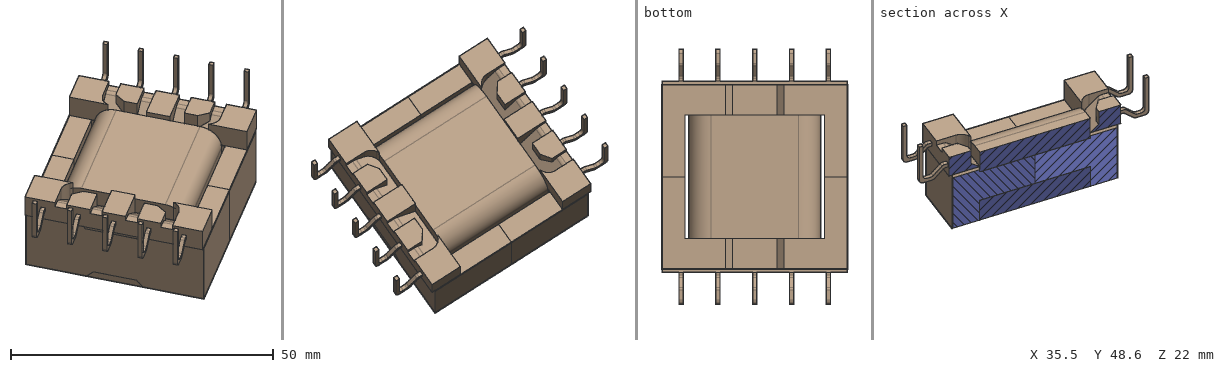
import cadquery as cq
import math

overall_width = 35.45
overall_length = 48.6
overall_height = 22.02
tape_thickness = 0.15
core_width = overall_width - 2 * tape_thickness
core_length = 34.9
core_height = 12.9
window_half_width = 13.25

top_notch_depth = 1.0
top_notch_mouth = 13.0
top_notch_floor = 11.8
bottom_notch_depth = 1.37
bottom_notch_mouth = 11.1
bottom_notch_floor = 8.55

winding_width = 25.2
winding_half_length = 11.72
winding_top = 16.7
winding_corner_radius = 4.28

leg_top = core_height - top_notch_depth
winding_wall = winding_top - leg_top
leg_width = winding_width - 2 * winding_wall
leg_height = winding_top - 2 * winding_wall

block_width = 35.25
block_bottom = 13.05
block_top = 17.7
block_inner_y = winding_half_length
block_outer_y = 18.2

pin_pitch = 7.0
slot_width = pin_pitch / 3
slot_floor = winding_top
recess_inner_x = pin_pitch / 2 - slot_width / 2
recess_outer_x = 1.5 * pin_pitch + slot_width / 2
recess_corner_radius = slot_width
recess_corner_y = 14.05
recess_corner_turn = math.radians(60)

island_inner_x = pin_pitch - slot_width
island_outer_x = pin_pitch + slot_width
island_tip_y = 13.5
island_chamfer_x = 2.0
island_chamfer_y = 1.4

ramp_angle = math.radians(37.4)
ramp_round_start_y = 16.75
ramp_round_radius = 1.4

pins_per_side = 5
pin_width = 0.85
pin_thickness = 0.8
pin_outer_y = overall_length / 2
pin_tip = overall_height
pin_top_z = 15.9
pin_low_z = block_bottom
pin_root_depth = 1.0
pin_root_y = block_outer_y - pin_root_depth
pin_step_start_y = 19.3
pin_step_end_y = 21.6
pin_step_radius = 0.7
pin_bend_radius = 0.85


def box(x_min, x_max, y_min, y_max, z_min, z_max):
    """Box given by its limits along the three axes."""
    size = (x_max - x_min, y_max - y_min, z_max - z_min)
    return cq.Workplane("XY").box(*size, centered=False).translate((x_min, y_min, z_min))


def other_end(shape):
    """Copy of a +Y end feature at the -Y end."""
    return shape.mirror("XZ")


def make_notch(mouth_z, floor_z, mouth_width, floor_width):
    """Trapezoidal prism along Y that cuts both end plates of the core."""
    profile = [
        (-mouth_width / 2, mouth_z),
        (-floor_width / 2, floor_z),
        (floor_width / 2, floor_z),
        (mouth_width / 2, mouth_z),
    ]
    return cq.Workplane("XZ").polyline(profile).close().extrude(core_length / 2, both=True)


def make_core_half():
    """E-shaped core half on the +Y side, meeting its twin at Y = 0."""
    half = box(-core_width / 2, core_width / 2, 0, core_length / 2, 0, core_height)
    window = box(-window_half_width, window_half_width, 0, winding_half_length, 0, core_height)
    top_notch = make_notch(core_height, leg_top, top_notch_mouth, top_notch_floor)
    bottom_notch = make_notch(0, bottom_notch_depth, bottom_notch_mouth, bottom_notch_floor)
    leg = box(-leg_width / 2, leg_width / 2, 0, winding_half_length, leg_top - leg_height, leg_top)
    return half.cut(window).cut(top_notch).cut(bottom_notch).union(leg)


def make_tape():
    """Thin band wrapped once around the outside of the core."""
    band = cq.Workplane("XY").rect(overall_width, core_length + 2 * tape_thickness)
    return band.rect(core_width, core_length).extrude(core_height)


def make_winding():
    """Rounded block around the centre leg, with a hole that the leg fills."""
    block = (
        cq.Workplane("XZ", origin=(0, 0, winding_top / 2))
        .rect(winding_width, winding_top)
        .extrude(winding_half_length, both=True)
        .edges("|Y")
        .fillet(winding_corner_radius)
    )
    leg_hole = (
        cq.Workplane("XZ", origin=(0, 0, winding_top / 2))
        .rect(leg_width, leg_height)
        .extrude(winding_half_length, both=True)
    )
    return block.cut(leg_hole)


def make_space_above_floor():
    """Space above the recess floor: level part, round-over and ramp, run along X."""

    def round_point(angle):
        return (
            ramp_round_start_y - ramp_round_radius * math.sin(angle),
            slot_floor - ramp_round_radius * (1 - math.cos(angle)),
        )

    ramp_start = round_point(ramp_angle)
    ramp_end_z = ramp_start[1] - (ramp_start[0] - block_inner_y) * math.tan(ramp_angle)
    return (
        cq.Workplane("YZ")
        .moveTo(block_outer_y, block_top)
        .lineTo(block_outer_y, slot_floor)
        .lineTo(ramp_round_start_y, slot_floor)
        .threePointArc(round_point(ramp_angle / 2), ramp_start)
        .lineTo(block_inner_y, ramp_end_z)
        .lineTo(block_inner_y, block_top)
        .close()
        .extrude(recess_outer_x)
    )


def make_recess():
    """Wire recess on the +X side of the +Y end block, leaving its island standing.

    The outer wall turns inwards on an arc and runs out to the inner face on a slant.
    """
    corner_center_x = recess_outer_x - recess_corner_radius

    def corner_point(angle):
        return (
            corner_center_x + recess_corner_radius * math.cos(angle),
            recess_corner_y - recess_corner_radius * math.sin(angle),
        )

    corner_end = corner_point(recess_corner_turn)
    slant_width = (corner_end[1] - block_inner_y) * math.tan(recess_corner_turn)
    outline = (
        cq.Workplane("XY", origin=(0, 0, block_bottom))
        .moveTo(recess_inner_x, block_inner_y)
        .lineTo(recess_inner_x, block_outer_y)
        .lineTo(recess_outer_x, block_outer_y)
        .lineTo(recess_outer_x, recess_corner_y)
        .threePointArc(corner_point(recess_corner_turn / 2), corner_end)
        .lineTo(corner_end[0] - slant_width, block_inner_y)
        .close()
        .extrude(block_top - block_bottom)
    )
    island_outline = [
        (island_inner_x, block_outer_y),
        (island_inner_x, island_tip_y),
        (island_outer_x - island_chamfer_x, island_tip_y),
        (island_outer_x, island_tip_y + island_chamfer_y),
        (island_outer_x, block_outer_y),
    ]
    island = (
        cq.Workplane("XY", origin=(0, 0, block_bottom))
        .polyline(island_outline)
        .close()
        .extrude(block_top - block_bottom)
    )
    return outline.cut(island).intersect(make_space_above_floor())


def make_end_block():
    """Bobbin end block on the +Y side with its two mirrored wire recesses."""
    block = box(
        -block_width / 2, block_width / 2, block_inner_y, block_outer_y, block_bottom, block_top
    )
    recess = make_recess()
    return block.cut(recess).cut(recess.mirror("YZ"))


def make_pin(x):
    """Bent pin on the +Y side: out of the block, down a slanted step, then up to its tip."""
    step_angle = math.atan2(
        pin_top_z - pin_low_z - pin_thickness, pin_step_end_y - pin_step_start_y
    )
    corner_shift = pin_thickness * math.tan(step_angle / 2)
    pin_inner_y = pin_outer_y - pin_thickness
    outline = [
        (pin_root_y, pin_top_z),
        (pin_step_start_y, pin_top_z),
        (pin_step_end_y, pin_low_z + pin_thickness),
        (pin_inner_y, pin_low_z + pin_thickness),
        (pin_inner_y, pin_tip),
        (pin_outer_y, pin_tip),
        (pin_outer_y, pin_low_z),
        (pin_step_end_y - corner_shift, pin_low_z),
        (pin_step_start_y - corner_shift, pin_top_z - pin_thickness),
        (pin_root_y, pin_top_z - pin_thickness),
    ]
    blank = (
        cq.Workplane("YZ", origin=(x, 0, 0))
        .polyline(outline)
        .close()
        .extrude(pin_width / 2, both=True)
    )
    step_region = cq.selectors.BoxSelector(
        (x - pin_width, block_outer_y, pin_low_z - pin_thickness),
        (x + pin_width, pin_step_end_y + pin_thickness / 2, pin_top_z + pin_thickness),
    )
    bend_region = cq.selectors.BoxSelector(
        (x - pin_width, pin_inner_y - pin_thickness / 2, pin_low_z - pin_thickness),
        (x + pin_width, pin_outer_y + pin_thickness / 2, pin_top_z),
    )
    stepped = blank.edges("|X").edges(step_region).fillet(pin_step_radius)
    return stepped.edges("|X").edges(bend_region).fillet(pin_bend_radius)


def make_bobbin():
    """Wound bobbin: winding, two end blocks and two rows of pins in one solid."""
    end_block = make_end_block()
    bobbin = make_winding().union(end_block).union(other_end(end_block))
    for index in range(pins_per_side):
        pin = make_pin((index - (pins_per_side - 1) / 2) * pin_pitch)
        bobbin = bobbin.union(pin).union(other_end(pin))
    return bobbin


core_half = make_core_half()
opposite_core_half = other_end(core_half)
bobbin = make_bobbin()
tape = make_tape()

result = cq.Compound.makeCompound(
    [
        core_half.solids().val(),
        opposite_core_half.solids().val(),
        bobbin.solids().val(),
        tape.solids().val(),
    ]
)